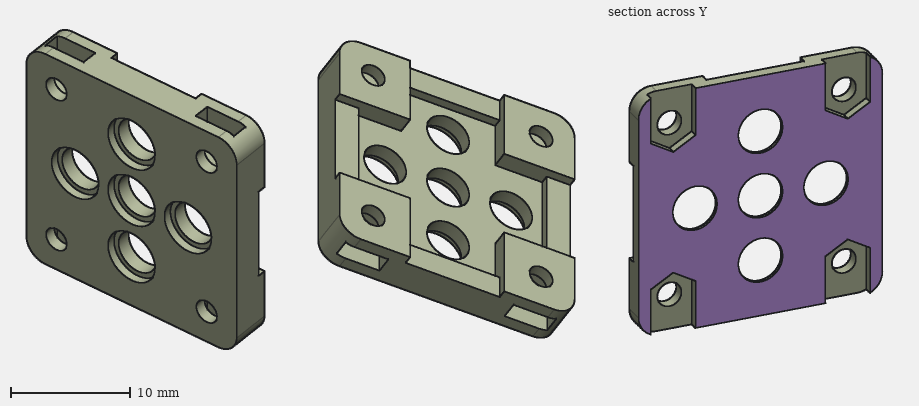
import cadquery as cq
import math

plate_side = 22.4
plate_thickness = 3.8
corner_radius = 2.0
front_y = -plate_thickness / 2
back_y = plate_thickness / 2

stepped_spacing = 6.0
stepped_bore_diameter = 4.0
counterbore_diameter = 5.0
counterbore_depth = 0.8

screw_offset = 8.0
screw_diameter = 2.2
nut_width = 4.08
nut_slot_thickness = 1.6

channel_width = 8.95
channel_depth = 0.8

pocket_length = 17.92
pocket_depth = 2 * channel_depth

stepped_points = [(0, 0)] + [
    (sign * dx, sign * dz)
    for sign in (-1, 1)
    for dx, dz in ((stepped_spacing, 0), (0, stepped_spacing))
]
screw_points = [(sx * screw_offset, sz * screw_offset) for sx in (-1, 1) for sz in (-1, 1)]


def make_plate():
    return (
        cq.Workplane("XY")
        .box(plate_side, plate_thickness, plate_side)
        .edges("|Y")
        .fillet(corner_radius)
    )


def make_cylinders(points, diameter, depth):
    """Cylinders running from the front face toward +Y."""
    return (
        cq.Workplane("XZ", origin=(0, front_y, 0))
        .pushPoints(points)
        .circle(diameter / 2)
        .extrude(-depth)
    )


def make_nut_trap(x, z):
    """Slot from the Z edge inward, ending in the pointed half of a hexagonal nut."""
    outward = math.copysign(1, z)
    half_width = nut_width / 2
    edge_z = outward * plate_side / 2
    corner_z = z - outward * nut_width / math.sqrt(3)
    shoulder_z = z - outward * half_width / math.sqrt(3)
    outline = [
        (x - half_width, edge_z),
        (x - half_width, shoulder_z),
        (x, corner_z),
        (x + half_width, shoulder_z),
        (x + half_width, edge_z),
    ]
    return cq.Workplane("XZ").polyline(outline).close().extrude(nut_slot_thickness / 2, both=True)


def make_back_cross(length, depth):
    """Two bars of channel width crossing at the centre, sunk into the back face."""
    along_x = cq.Workplane("XY").box(length, depth, channel_width)
    along_z = cq.Workplane("XY").box(channel_width, depth, length)
    return along_x.union(along_z).translate((0, back_y - depth / 2, 0))


result = make_plate()
result = result.cut(make_back_cross(plate_side, channel_depth))
result = result.cut(make_back_cross(pocket_length, pocket_depth))
result = result.cut(make_cylinders(stepped_points, stepped_bore_diameter, plate_thickness))
result = result.cut(make_cylinders(stepped_points, counterbore_diameter, counterbore_depth))
result = result.cut(make_cylinders(screw_points, screw_diameter, plate_thickness))
for screw_x, screw_z in screw_points:
    result = result.cut(make_nut_trap(screw_x, screw_z))